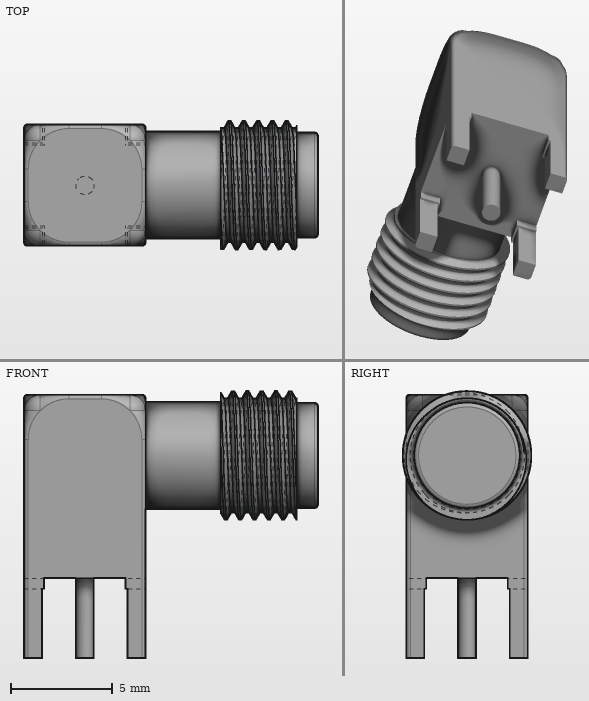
import cadquery as cq
import math


block_width = 6.0
block_top = 13.0
block_bottom = 3.95
edge_rounding = 0.2
face_corner_radius = 2.0
corner_steps = 4
corner_clearance = 0.5

leg_gap = 4.2
leg_root_gap = 4.0
leg_root_start = 3.42

pin_diameter = 0.9

barrel_axis_height = 10.0
barrel_diameter = 5.3
nose_diameter = 5.2
nose_rounding = 0.2
plain_length = 3.7
threaded_length = 3.76
nose_length = 1.04

thread_diameter = 6.35
thread_root_diameter = 5.64
thread_pitch = 25.4 / 36
thread_crest_width = 0.1
thread_flank_angle = 30.0
thread_crest_offset = 0.255
thread_embed = 0.05

half_width = block_width / 2
thread_overrun = 2 * thread_pitch
corner_inset = edge_rounding + face_corner_radius
thread_start = half_width + plain_length
thread_end = thread_start + threaded_length
barrel_end = thread_end + nose_length


def make_edge_section(distance, rounding):
    """Outline of the waste outside an edge rounding, square to Z, at a distance below a corner at the origin."""
    arc_middle = rounding * (math.sqrt(0.5) - 1)
    return (
        cq.Workplane("XY", origin=(0, 0, -distance))
        .moveTo(corner_clearance, corner_clearance)
        .lineTo(-rounding, corner_clearance)
        .lineTo(-rounding, 0)
        .threePointArc((arc_middle, arc_middle), (0, -rounding))
        .lineTo(corner_clearance, -rounding)
        .close()
        .wires()
        .val()
    )


def make_corner_arm():
    """Waste along one edge whose rounding shrinks away from the corner, leaving a round-cornered face."""
    sections = []
    for step in range(corner_steps + 1):
        angle = math.radians(45 + 45 * step / corner_steps)
        distance = corner_inset - face_corner_radius * math.cos(angle)
        rounding = corner_inset - face_corner_radius * math.sin(angle)
        sections.append(make_edge_section(distance, rounding))
    return cq.Workplane(obj=cq.Solid.makeLoft(sections))


def make_corner_waste():
    """Waste around a block corner at the origin: a ball-rounded tip and an arm along each of the three edges."""
    ball_radius = corner_inset - face_corner_radius * math.sqrt(0.5)
    tip_size = ball_radius + corner_clearance
    tip_centre = (corner_clearance - ball_radius) / 2
    tip = cq.Workplane("XY").box(tip_size, tip_size, tip_size).translate((tip_centre, tip_centre, tip_centre))
    ball = cq.Workplane("XY").sphere(ball_radius).translate((-ball_radius, -ball_radius, -ball_radius))
    pieces = [tip.cut(ball)]
    for edge in range(3):
        pieces.append(make_corner_arm().rotate((0, 0, 0), (1, 1, 1), 120 * edge))
    return pieces


def make_rounded_block():
    """Square block with lightly rounded edges whose rounding widens toward the top corners."""
    block = (
        cq.Workplane("XY")
        .box(block_width, block_width, block_top, centered=(True, True, False))
        .edges("|Z or >Z")
        .fillet(edge_rounding)
    )
    for piece in make_corner_waste():
        for corner in range(4):
            placed = piece.translate((half_width, half_width, block_top))
            block = block.cut(placed.rotate((0, 0, 0), (0, 0, 1), 90 * corner))
    return block


def make_leg_gap(width, height):
    """Cross-shaped space of two slots that separates the four legs."""
    along_x = cq.Workplane("XY").box(2 * block_width, width, height, centered=(True, True, False))
    along_y = cq.Workplane("XY").box(width, 2 * block_width, height, centered=(True, True, False))
    return along_x.union(along_y)


def make_housing():
    housing = make_rounded_block()
    housing = housing.cut(make_leg_gap(leg_gap, leg_root_start))
    return housing.cut(make_leg_gap(leg_root_gap, block_bottom))


def make_pin():
    return cq.Workplane("XY").circle(pin_diameter / 2).extrude(block_bottom)


def make_cylinder(start, end, diameter):
    """Cylinder on the barrel axis between two X positions."""
    return (
        cq.Workplane("YZ", origin=(start, 0, barrel_axis_height))
        .circle(diameter / 2)
        .extrude(end - start)
    )


def make_thread_ridge():
    """Right-hand helical ridge, longer than the threaded length at both ends."""
    crest_radius = thread_diameter / 2
    base_radius = thread_root_diameter / 2 - thread_embed
    crest_half = thread_crest_width / 2
    base_half = crest_half + (crest_radius - base_radius) * math.tan(math.radians(thread_flank_angle))
    ridge_length = threaded_length + 2 * thread_overrun
    helix = cq.Wire.makeHelix(thread_pitch, ridge_length, base_radius)
    ridge = (
        cq.Workplane("XZ")
        .moveTo(base_radius, -base_half)
        .lineTo(crest_radius, -crest_half)
        .lineTo(crest_radius, crest_half)
        .lineTo(base_radius, base_half)
        .close()
        .sweep(cq.Workplane(obj=helix), isFrenet=True)
    )
    ridge_start = thread_start + thread_crest_offset - thread_overrun
    return ridge.rotate((0, 0, 0), (0, 1, 0), 90).translate((ridge_start, 0, barrel_axis_height))


def make_barrel():
    plain = make_cylinder(half_width, thread_start, barrel_diameter)
    core = make_cylinder(thread_start, thread_end, thread_root_diameter)
    nose = make_cylinder(thread_end, barrel_end, nose_diameter).faces(">X").edges().fillet(nose_rounding)
    thread_envelope = make_cylinder(thread_start, thread_end, 2 * thread_diameter)
    ridge = make_thread_ridge().intersect(thread_envelope)
    return core.union(plain).union(nose).union(ridge)


housing = make_housing()
barrel = make_barrel()
pin = make_pin()

result = cq.Compound.makeCompound([body.solids().val() for body in (housing, barrel, pin)])